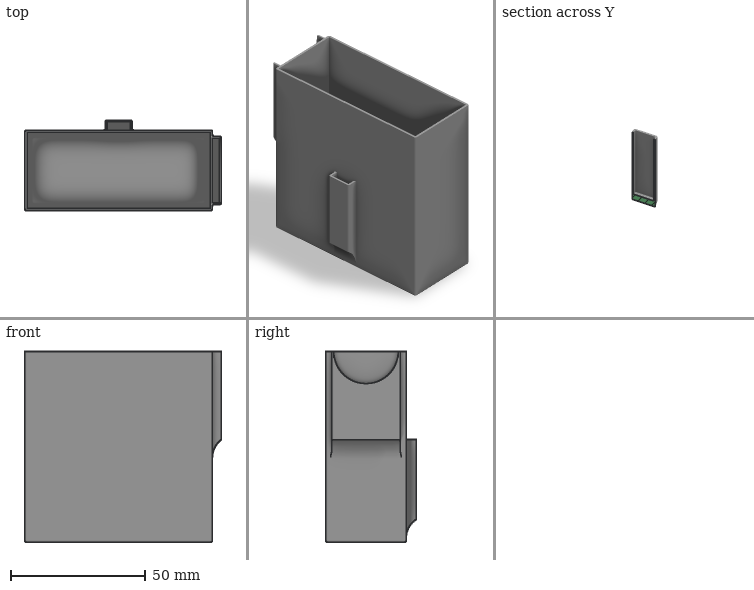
import cadquery as cq

box_length = 70.0
box_width = 30.05
box_height = 71.2
wall = 0.9
edge_radius = 0.7

pocket_wall = 0.7
pocket_corner_radius = 0.7
root_radius = 0.6
under_drop = 6.75

side_reach = 3.3
side_width = 25.5
side_center_y = 15.0
side_height = 32.9

back_reach = 3.75
back_width = 10.0
back_center_x = 35.05
back_top = 38.4
back_height = 29.9


def make_box():
    """Open-topped box with rounded outer vertical and bottom edges."""
    outer = cq.Workplane("XY").box(box_length, box_width, box_height, centered=False)
    outer = outer.edges("|Z or <Z").fillet(edge_radius)
    cavity = (
        cq.Workplane("XY", origin=(wall, wall, wall))
        .box(box_length - 2 * wall, box_width - 2 * wall, box_height, centered=False)
    )
    return outer.cut(cavity)


def make_pocket(reach, width, height):
    """Pocket hung on the plane X = 0, reaching along +X, with its top at Z = 0.

    Below the outer wall, the underside curves back to the box in a hollow arc
    that ends tangent to the box wall. The root radius rounds the joint with the box.
    """
    arc_radius = (reach**2 + under_drop**2) / (2 * reach)
    arc_end_z = -height - under_drop
    half = width / 2
    profile = (
        cq.Workplane("XZ")
        .lineTo(reach, 0)
        .lineTo(reach, -height)
        .radiusArc((0, arc_end_z), -arc_radius)
        .close()
        .extrude(half + root_radius, both=True)
    )
    plan = (
        cq.Workplane("XY")
        .rect(2 * reach, width)
        .extrude(arc_end_z)
        .edges("|Z")
        .fillet(pocket_corner_radius)
    )
    for side in (-1, 1):
        flare = (
            cq.Workplane("XY")
            .moveTo(0, side * half)
            .lineTo(root_radius, side * half)
            .radiusArc((0, side * (half + root_radius)), side * root_radius)
            .close()
            .extrude(arc_end_z)
        )
        plan = plan.union(flare)
    cavity = (
        cq.Workplane("XY")
        .center((reach - pocket_wall) / 2, 0)
        .rect(reach - pocket_wall, width - 2 * pocket_wall)
        .extrude(pocket_wall - height)
    )
    return profile.intersect(plan).cut(cavity)


def make_side_pocket():
    pocket = make_pocket(side_reach, side_width, side_height)
    scoop_radius = side_width / 2 - pocket_wall
    scoop = cq.Workplane("YZ").circle(scoop_radius).extrude(side_reach)
    return pocket.cut(scoop).translate((box_length, side_center_y, box_height))


def make_back_pocket():
    pocket = make_pocket(back_reach, back_width, back_height)
    pocket = pocket.rotate((0, 0, 0), (0, 0, 1), 90)
    return pocket.translate((back_center_x, box_width, back_top))


result = make_box().union(make_side_pocket()).union(make_back_pocket())